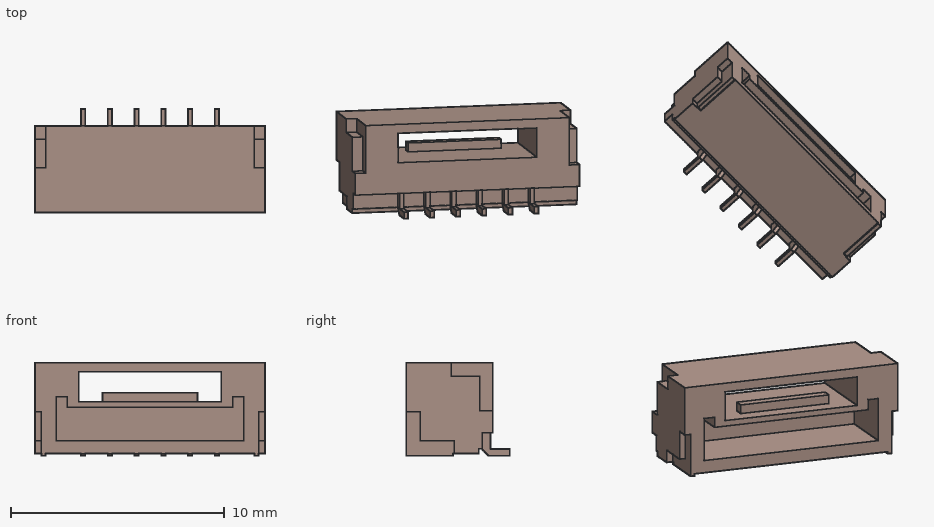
import cadquery as cq

body_length = 10.75
body_depth = 4.05
total_height = 4.35
standoff = 0.1

rear_step_y = 3.55
rear_step_top = 1.07
foot_step_y = 3.4
foot_step_top = 0.32

window_length = 6.65
window_bottom = 2.53
window_top = 3.92

bar_length = 4.45
bar_front_y = 0.8
bar_depth = 0.5
bar_height = 0.42

cavity_length = 8.78
cavity_depth = 3.0
cavity_bottom = 0.7
cavity_top = 2.26
channel_width = 0.52
channel_top = 2.75

front_recess_width = 0.3
front_leg_depth = 0.65
front_leg_top = 2.05
front_recess_depth = 2.25
front_foot_top = 0.7

rear_recess_width = 0.5
rear_leg_y = 3.43
rear_leg_bottom = 2.1
rear_recess_y = 2.1
rear_arm_bottom = 3.71

tab_thickness = 0.2
tab_depth = 2.2

pin_count = 6
pin_pitch = 1.25
pin_width = 0.2
pin_tip_y = 4.85
pin_outer_y = 3.95
pin_bevel_y = 3.84
pin_bevel_top = 0.3


def box(x_range, y_range, z_range):
    """Axis-aligned block between the given limits."""
    x0, x1 = x_range
    y0, y1 = y_range
    z0, z1 = z_range
    block = cq.Workplane("XY").box(x1 - x0, y1 - y0, z1 - z0, centered=False)
    return block.translate((x0, y0, z0))


def centred_box(length, y_range, z_range):
    """Block placed symmetrically about X = 0."""
    return box((-length / 2, length / 2), y_range, z_range)


def side_profile(points, x_start, width):
    """Extrude a (Y, Z) outline along +X from x_start."""
    profile = cq.Workplane("YZ").polyline(points).close().extrude(width)
    return profile.translate((x_start, 0, 0))


def both_ends(shape):
    """The shape together with its mirror image about X = 0."""
    return shape.union(shape.mirror("YZ"))


def make_housing():
    outline = [
        (0, standoff),
        (foot_step_y, standoff),
        (foot_step_y, foot_step_top),
        (rear_step_y, foot_step_top),
        (rear_step_y, rear_step_top),
        (body_depth, rear_step_top),
        (body_depth, total_height),
        (0, total_height),
    ]
    return side_profile(outline, -body_length / 2, body_length)


def make_window():
    return centred_box(window_length, (0, body_depth), (window_bottom, window_top))


def make_locking_bar():
    return centred_box(
        bar_length,
        (bar_front_y, bar_front_y + bar_depth),
        (window_bottom, window_bottom + bar_height),
    )


def make_cavity():
    main_slot = centred_box(cavity_length, (0, cavity_depth), (cavity_bottom, cavity_top))
    channel_start = -cavity_length / 2
    channel = box(
        (channel_start, channel_start + channel_width),
        (0, cavity_depth),
        (cavity_bottom, channel_top),
    )
    return main_slot.union(both_ends(channel))


def make_front_recesses():
    outline = [
        (0, 0),
        (front_recess_depth, 0),
        (front_recess_depth, front_foot_top),
        (front_leg_depth, front_foot_top),
        (front_leg_depth, front_leg_top),
        (0, front_leg_top),
    ]
    return both_ends(side_profile(outline, -body_length / 2, front_recess_width))


def make_rear_recesses():
    outline = [
        (body_depth, rear_leg_bottom),
        (body_depth, total_height),
        (rear_recess_y, total_height),
        (rear_recess_y, rear_arm_bottom),
        (rear_leg_y, rear_arm_bottom),
        (rear_leg_y, rear_leg_bottom),
    ]
    return both_ends(side_profile(outline, -body_length / 2, rear_recess_width))


def make_tabs():
    outer_x = -body_length / 2 + front_recess_width
    return both_ends(box((outer_x, outer_x + tab_thickness), (0, tab_depth), (0, front_foot_top)))


def make_pin(x_centre):
    outline = [
        (rear_step_y, rear_step_top),
        (rear_step_y, pin_bevel_top),
        (pin_bevel_y, 0),
        (pin_tip_y, 0),
        (pin_tip_y, foot_step_top),
        (pin_outer_y, foot_step_top),
        (pin_outer_y, rear_step_top),
    ]
    return side_profile(outline, x_centre - pin_width / 2, pin_width)


part = make_housing()
part = part.cut(make_window()).cut(make_cavity())
part = part.cut(make_front_recesses()).cut(make_rear_recesses())
part = part.union(make_locking_bar()).union(make_tabs())
for index in range(pin_count):
    pin_x = (index - (pin_count - 1) / 2) * pin_pitch
    part = part.union(make_pin(pin_x))

result = part